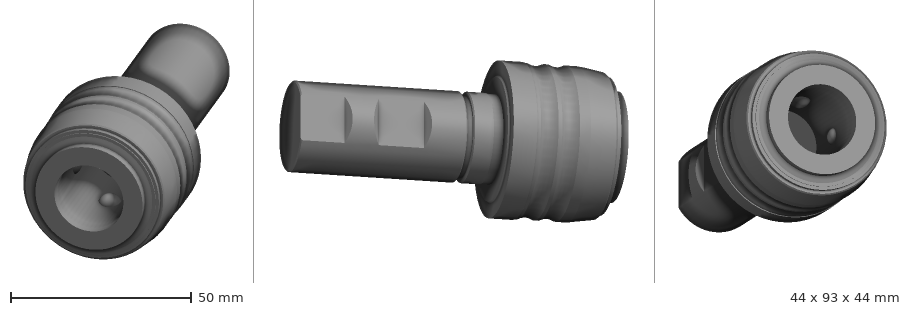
import cadquery as cq
import math

LENGTH = 93.0

NOSE_RADIUS = 15.5
NOSE_LENGTH = 2.4
NOSE_CONE_RADIUS = 17.5
FRONT_LIP_RADIUS = 18.4
FRONT_LIP_Y = 2.9
RING_RADIUS = 19.3
RING_FRONT_Y = 3.2

TAPER_EDGE = 0.4
TAPER_FRONT_RADIUS = 20.55
TAPER_FRONT_Y = 4.8
TAPER_BACK_Y = 12.5
TAPER_BULGE = 0.14
GRIP_RADIUS = 21.8
GRIP_GROOVE_DEPTH = 0.65
GRIP_GROOVE_WIDTH = 5.0
GRIP_GROOVE_FRONTS = (15.6, 21.8)

FLANGE_RADIUS = 44.0 / 2
FLANGE_FRONT_Y = 27.9
FLANGE_BACK_Y = 34.7
PLATE_RADIUS = 17.9
PLATE_CHAMFER = 0.5

NECK_RADIUS = 12.6
COLLAR_FRONT_Y = 37.9
SHANK_RADIUS = 12.7
SHANK_CHAMFER = 0.4
SHANK_GROOVE_RADIUS = 11.4
SHANK_GROOVE_FRONT_Y = 43.7
SHANK_GROOVE_BACK_Y = 45.5

FLAT_DISTANCE = 10.9
CUTTER_CLEARANCE = 1.9
FLAT_SPANS = ((57.6, 70.5), (80.35, LENGTH))

BORE_RADIUS = 20.0 / 2
BORE_DEPTH = FLANGE_BACK_Y
BALL_Y = (FLANGE_FRONT_Y + TAPER_BACK_Y) / 2
LARGE_BALL_RADIUS = 3.4
LARGE_BALL_TIP = 7.4
SMALL_BALL_RADIUS = 2.8
SMALL_BALL_TIP = 8.4


def turned_body():
    """Solid of revolution; the outline is (radius, Y), from the front face to the shank end."""
    plate_back = FLANGE_BACK_Y + PLATE_CHAMFER
    taper_middle = (
        (TAPER_FRONT_RADIUS + GRIP_RADIUS) / 2 + TAPER_BULGE,
        (TAPER_FRONT_Y + TAPER_BACK_Y) / 2,
    )
    outline = (
        cq.Workplane("XY")
        .moveTo(0, 0)
        .lineTo(NOSE_RADIUS, 0)
        .lineTo(NOSE_RADIUS, NOSE_LENGTH)
        .lineTo(NOSE_CONE_RADIUS, FRONT_LIP_Y)
        .lineTo(FRONT_LIP_RADIUS, FRONT_LIP_Y)
        .lineTo(FRONT_LIP_RADIUS, RING_FRONT_Y)
        .lineTo(RING_RADIUS, RING_FRONT_Y)
        .lineTo(RING_RADIUS, TAPER_FRONT_Y - TAPER_EDGE)
        .lineTo(TAPER_FRONT_RADIUS - TAPER_EDGE, TAPER_FRONT_Y - TAPER_EDGE)
        .lineTo(TAPER_FRONT_RADIUS, TAPER_FRONT_Y)
        .threePointArc(taper_middle, (GRIP_RADIUS, TAPER_BACK_Y))
    )
    for groove_front in GRIP_GROOVE_FRONTS:
        groove_middle = (GRIP_RADIUS - GRIP_GROOVE_DEPTH, groove_front + GRIP_GROOVE_WIDTH / 2)
        groove_back = (GRIP_RADIUS, groove_front + GRIP_GROOVE_WIDTH)
        outline = outline.lineTo(GRIP_RADIUS, groove_front).threePointArc(groove_middle, groove_back)
    outline = (
        outline
        .lineTo(GRIP_RADIUS, FLANGE_FRONT_Y)
        .lineTo(FLANGE_RADIUS, FLANGE_FRONT_Y)
        .lineTo(FLANGE_RADIUS, FLANGE_BACK_Y)
        .lineTo(PLATE_RADIUS, FLANGE_BACK_Y)
        .lineTo(PLATE_RADIUS - PLATE_CHAMFER, plate_back)
        .lineTo(NECK_RADIUS, plate_back)
        .lineTo(NECK_RADIUS, COLLAR_FRONT_Y)
        .lineTo(SHANK_RADIUS, COLLAR_FRONT_Y)
        .lineTo(SHANK_RADIUS, SHANK_GROOVE_FRONT_Y - SHANK_CHAMFER)
        .lineTo(SHANK_RADIUS - SHANK_CHAMFER, SHANK_GROOVE_FRONT_Y)
        .lineTo(SHANK_GROOVE_RADIUS, SHANK_GROOVE_FRONT_Y)
        .lineTo(SHANK_GROOVE_RADIUS, SHANK_GROOVE_BACK_Y)
        .lineTo(SHANK_RADIUS - SHANK_CHAMFER, SHANK_GROOVE_BACK_Y)
        .lineTo(SHANK_RADIUS, SHANK_GROOVE_BACK_Y + SHANK_CHAMFER)
        .lineTo(SHANK_RADIUS, LENGTH - SHANK_CHAMFER)
        .lineTo(SHANK_RADIUS - SHANK_CHAMFER, LENGTH)
        .lineTo(0, LENGTH)
        .close()
    )
    return outline.revolve(360, (0, 0, 0), (0, 1, 0))


def flat_cutter(front_y, back_y):
    """Trapezoid cutter whose end walls slope outward at 45 degrees from the flat floor."""
    overshoot = SHANK_RADIUS - FLAT_DISTANCE + CUTTER_CLEARANCE
    return (
        cq.Workplane("XY")
        .polyline([
            (-FLAT_DISTANCE, front_y),
            (-FLAT_DISTANCE, back_y),
            (-FLAT_DISTANCE - overshoot, back_y + overshoot),
            (-FLAT_DISTANCE - overshoot, front_y - overshoot),
        ])
        .close()
        .extrude(SHANK_RADIUS, both=True)
    )


def bore():
    return cq.Workplane("XZ").circle(BORE_RADIUS).extrude(-BORE_DEPTH)


def locking_ball(radius, tip_distance, angle):
    """Ball partly sunk in the bore wall; its innermost point is tip_distance from the axis."""
    center_distance = tip_distance + radius
    center_x = center_distance * math.cos(math.radians(angle))
    center_z = center_distance * math.sin(math.radians(angle))
    return cq.Workplane("XY").sphere(radius).translate((center_x, BALL_Y, center_z))


result = turned_body()
for flat_front, flat_back in FLAT_SPANS:
    result = result.cut(flat_cutter(flat_front, flat_back))
result = result.cut(bore())
for x_side_angle in (0, 180):
    result = result.union(locking_ball(SMALL_BALL_RADIUS, SMALL_BALL_TIP, x_side_angle))
for z_side_angle in (90, 270):
    result = result.union(locking_ball(LARGE_BALL_RADIUS, LARGE_BALL_TIP, z_side_angle))